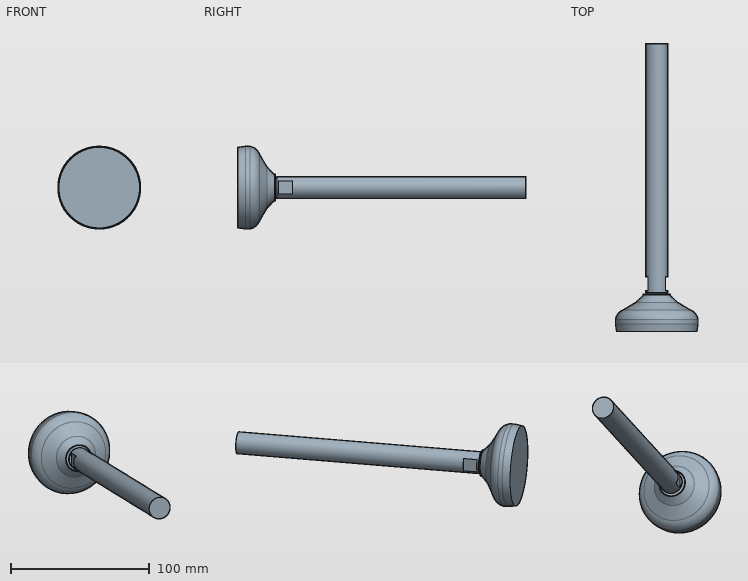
import cadquery as cq

overall_length = 208.0

pad_diameter = 60.0
pad_base_diameter = 58.2
rim_start = 5.6
shoulder_start = 8.7
shoulder_mid = (28.0, 13.0)
shoulder_end_radius = 24.5
shoulder_end = 15.5
flare_end_radius = 15.0
flare_end = 21.2
cone_end_radius = 9.4
cone_end = 26.6
lip_diameter = 19.5
pad_height = 27.2

stem_diameter = 16.0
neck_diameter = 13.7
stem_start = 28.3

flat_start = 29.5
flat_length = 10.0
across_flats = 13.0


def make_pad():
    """Solid bell-shaped pad with a rounded shoulder, conical flare and top lip."""
    pad_radius = pad_diameter / 2
    return (
        cq.Workplane("XY")
        .lineTo(pad_base_diameter / 2, 0)
        .lineTo(pad_radius, rim_start)
        .lineTo(pad_radius, shoulder_start)
        .threePointArc(shoulder_mid, (shoulder_end_radius, shoulder_end))
        .lineTo(flare_end_radius, flare_end)
        .lineTo(cone_end_radius, cone_end)
        .lineTo(lip_diameter / 2, cone_end)
        .lineTo(lip_diameter / 2, pad_height)
        .lineTo(0, pad_height)
        .close()
        .revolve(360, (0, 0, 0), (0, 1, 0))
    )


def make_stem():
    """Round stem standing on the pad by a short tapered neck, with two wrench flats."""
    stem = (
        cq.Workplane("XY")
        .moveTo(0, pad_height)
        .lineTo(neck_diameter / 2, pad_height)
        .lineTo(stem_diameter / 2, stem_start)
        .lineTo(stem_diameter / 2, overall_length)
        .lineTo(0, overall_length)
        .close()
        .revolve(360, (0, 0, 0), (0, 1, 0))
    )
    for side in (-1, 1):
        flat_cutter = cq.Workplane("XY").box(stem_diameter, flat_length, stem_diameter).translate(
            (side * (across_flats + stem_diameter) / 2, flat_start + flat_length / 2, 0)
        )
        stem = stem.cut(flat_cutter)
    return stem


pad = make_pad()
stem = make_stem()

result = cq.Compound.makeCompound([pad.val(), stem.val()])